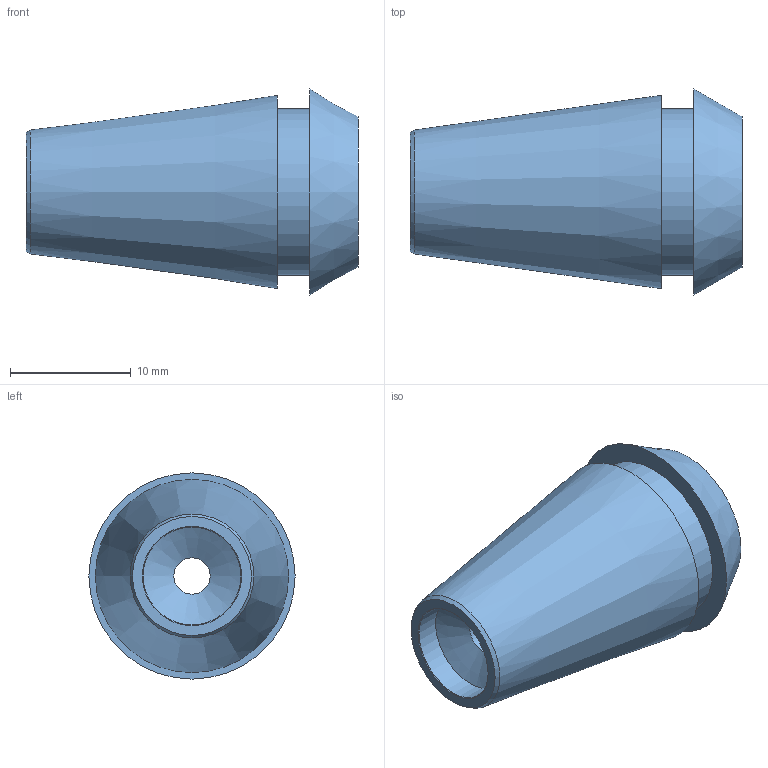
import cadquery as cq
import math

total_length = 27.5
collar_diameter = 17.08
collar_length = 4.0
collar_half_angle = 30.0

groove_width = 2.7
groove_diameter = 13.8

taper_large_diameter = 16.0
taper_half_angle = 8.0

bevel_length = 0.35
bevel_height = 0.2

relief_diameter = 8.1
mouth_bevel = 0.06
relief_depth = 2.0
clamp_diameter = 3.0
transition_half_angle = 60.0

collar_start = total_length - collar_length
groove_start = collar_start - groove_width

collar_radius = collar_diameter / 2
collar_end_radius = collar_radius - collar_length * math.tan(math.radians(collar_half_angle))
groove_radius = groove_diameter / 2
taper_large_radius = taper_large_diameter / 2
taper_length = groove_start - bevel_length
taper_small_radius = taper_large_radius - taper_length * math.tan(math.radians(taper_half_angle))
nose_radius = taper_small_radius - bevel_height
relief_radius = relief_diameter / 2
mouth_radius = relief_radius + mouth_bevel
clamp_radius = clamp_diameter / 2
transition_length = (relief_radius - clamp_radius) / math.tan(math.radians(transition_half_angle))
clamp_start = relief_depth + transition_length


def revolve_about_x(half_profile):
    """Revolve a closed (x, radius) half profile around the X axis."""
    sketch = cq.Workplane("XY").polyline(half_profile).close()
    return sketch.revolve(360, (0, 0, 0), (1, 0, 0))


def collet_body():
    return revolve_about_x([
        (0, 0),
        (0, nose_radius),
        (bevel_length, taper_small_radius),
        (groove_start, taper_large_radius),
        (groove_start, groove_radius),
        (collar_start, groove_radius),
        (collar_start, collar_radius),
        (total_length, collar_end_radius),
        (total_length, 0),
    ])


def stepped_bore():
    return revolve_about_x([
        (0, 0),
        (0, mouth_radius),
        (mouth_bevel, relief_radius),
        (relief_depth, relief_radius),
        (clamp_start, clamp_radius),
        (total_length, clamp_radius),
        (total_length, 0),
    ])


result = collet_body().cut(stepped_bore())